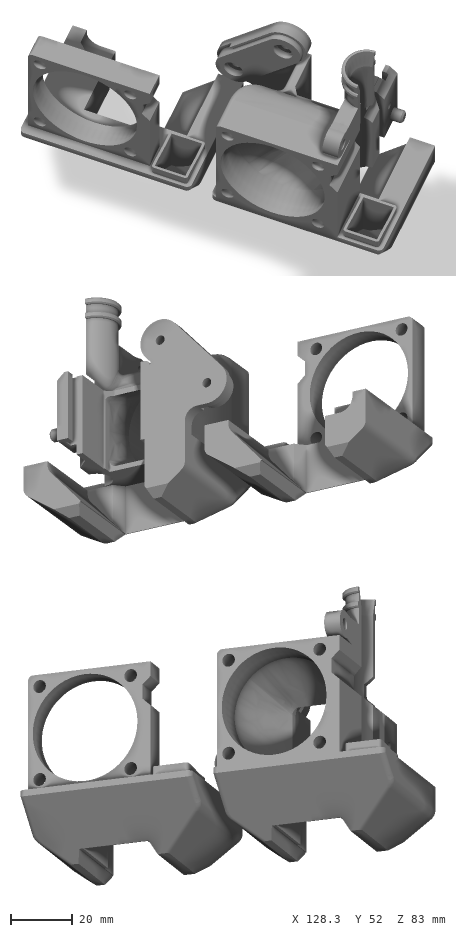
import cadquery as cq
import math


base_width = 60.5
base_depth = 46.3
base_height = 20.8
base_pitch = 67.77
left_wall_bottom = -13.0
left_foot_x = 10.3
right_wall_bottom = -9.9
right_foot_x = 44.9
corner_round = 3.6
front_lip = 2.2
front_slope_run = 19.8
back_bevel_run = 2.7
back_bevel_rise = 3.0
front_edge_round = 1.8
notch_roof = -17.1
notch_left = 13.2
notch_right = 41.0
notch_slant = 1.7

cut_margin = 1.0
slot_left = 16.3
slot_right = 51.5
slot_right_bottom = 38.9
slot_front = 16.2
slot_back_left = 15.2
slot_back_y = 38.2
slot_step_front = 19.3
slot_corner_x = 42.0
slot_upright = 3.0
slot_round = 5.0

collar_x0 = 46.3
collar_x1 = 58.9
collar_y0 = 1.1
collar_y1 = 17.5
collar_height = 3.1
collar_back_height = 2.3
collar_ramp_y0 = 4.0
collar_ramp_y1 = 11.6
collar_wall = 0.9
collar_round = 0.9
pocket_floor = 2.4
pocket_round = 1.5

scoop_left = 5.0
scoop_front = 38.0
scoop_depth = 6.5
scoop_round = 5.0
scoop_corner = 3.0

fan_x = 21.9
fan_z = 20.1
fan_bore = 36.8
fan_hole_pitch = 32.0
fan_hole = 4.4
fan_hole_depth = 8.0
frame_left = 1.8
frame_right = 44.85
frame_top = 40.2
frame_front = 3.4
frame_back = 11.6
frame_round = 1.8
side_notch_depth = 2.8
side_notch_outer = (25.1, 35.1)
side_notch_inner = (27.7, 32.5)

part_plane = base_pitch + frame_right
duct_fan_x = base_pitch + fan_x
channel_y = 32.3
duct_bend_y = 24.5
channel_top = 28.0
channel_left = 81.0
passage_left = 84.45
passage_right = 106.1
passage_inset = 0.4
passage_top = 27.0
passage_round = 2.5
passage_bottom = fan_z - fan_bore / 2
roof_end = 28.8
roof_flare = 2.2
wall_right = 108.4
wall_bevel_y = 36.2
clip_front = 40.5

tube_y = 25.0
tube_radius = 7.15
tube_top = 62.2
tube_foot_round = 1.5
tube_bore_radius = 5.3
tube_mouth_radius = 7.0
tube_mouth_depth = 6.0
rib_radius = 8.1
rib_crest = 1.2
rib_height = 2.1
rib_spacing = 5.0

lug_left = 107.1
lug_back = 20.1
lug_top = 49.2
lug_flat_y = 10.0
lug_eye_start = 1.8
lug_eye_y = 5.0
lug_eye_z = 45.5
lug_eye_radius = 4.6
lug_hole = 4.0
lug_hole_rim = 0.25

arm_low = (59.55, 15.1)
arm_high = (77.05, 34.2)
arm_radius = 7.4
arm_rim = 1.1
arm_face_y = 39.7
arm_web_y = 41.7
arm_thin_y = 43.7
arm_thin_right = 63.2
arm_thin_top = 23.6
arm_bolt = 3.3
arm_head = 6.8
arm_head_depth = 2.5
web_fillet = 4.4
blister_center = (78.5, 43.5, -3.0)
blister_radius = 7.57

clip_back = 51.95
clip_hook_y = 49.0
clip_thickness = 2.0
clip_bottom = 3.7
clip_top = 27.7
clip_hole = 2.4
clip_hole_y = 45.0
peg_y = 47.8
peg_z = 7.8
peg_diameter = 4.4
peg_end = 116.7
peg_chamfer = 0.6


def block(x0, x1, y0, y1, z0, z1):
    """Axis-aligned block between opposite corners."""
    return cq.Workplane("XY").box(x1 - x0, y1 - y0, z1 - z0, centered=False).translate((x0, y0, z0))


def along_y(outline, y0, y1):
    """Extrude a closed outline drawn in X and Z from y0 to y1."""
    return outline.extrude(-(y1 - y0)).translate((0, y0, 0))


def rod_y(x, z, radius, y0, y1):
    """Cylinder with its axis along Y."""
    return along_y(cq.Workplane("XZ").center(x, z).circle(radius), y0, y1)


def base_body():
    """Base block with sloped feet, a sloped front and a notch under it."""
    front_outline = [
        (0, 0),
        (0, left_wall_bottom),
        (left_foot_x, -base_height),
        (right_foot_x, -base_height),
        (base_width, right_wall_bottom),
        (base_width, 0),
    ]
    body = along_y(cq.Workplane("XZ").polyline(front_outline).close(), 0, base_depth)
    for x, z in ((0, left_wall_bottom), (base_width, right_wall_bottom)):
        body = body.edges(cq.selectors.NearestToPointSelector((x, base_depth / 2, z))).fillet(corner_round)
    side_outline = [
        (0, 0),
        (0, -front_lip),
        (front_slope_run, -base_height),
        (base_depth - back_bevel_run, -base_height),
        (base_depth, -base_height + back_bevel_rise),
        (base_depth, 0),
    ]
    side = cq.Workplane("YZ").polyline(side_outline).close().extrude(base_width)
    body = body.intersect(side)
    side_edges = body.faces("<(0, 1, 1)").edges("not |X").add(body.edges("|Z and <Y"))
    notch = [
        (notch_left, -base_height),
        (notch_left + notch_slant, notch_roof),
        (notch_right - notch_slant, notch_roof),
        (notch_right, -base_height),
    ]
    body = side_edges.fillet(front_edge_round)
    return body.cut(along_y(cq.Workplane("XZ").polyline(notch).close(), 0, base_depth))


def base_slot():
    """Opening through the base: upright left wall, right wall sloping in below a short upright."""
    profile = [
        (slot_left, cut_margin),
        (slot_left, -base_height),
        (slot_right_bottom, -base_height),
        (slot_right_bottom, notch_roof),
        (slot_right, -slot_upright),
        (slot_right, cut_margin),
    ]
    slot = along_y(cq.Workplane("XZ").polyline(profile).close(), slot_front, base_depth)
    knee = cq.selectors.NearestToPointSelector((slot_right, (slot_front + base_depth) / 2, -slot_upright))
    slot = slot.edges(knee).fillet(slot_round)
    corner_step = slot_step_front - slot_front
    front_corner = (
        cq.Workplane("XY", origin=(0, 0, -base_height))
        .moveTo(slot_right_bottom, slot_front)
        .lineTo(slot_corner_x, slot_step_front)
        .lineTo(slot_right, slot_step_front)
        .lineTo(slot_right, slot_front - corner_step)
        .lineTo(slot_right_bottom, slot_front - corner_step)
        .close()
        .extrude(base_height + cut_margin)
    )
    back_end = block(slot_back_left, slot_left, slot_back_y, base_depth, -base_height, cut_margin)
    return slot.cut(front_corner).union(back_end)


def inlet_collar():
    """Low rectangular collar whose rim drops towards the back."""
    side = [
        (collar_y0, 0),
        (collar_y0, collar_height),
        (collar_ramp_y0, collar_height),
        (collar_ramp_y1, collar_back_height),
        (collar_y1, collar_back_height),
        (collar_y1, 0),
    ]
    collar = cq.Workplane("YZ", origin=(collar_x0, 0, 0)).polyline(side).close()
    return collar.extrude(collar_x1 - collar_x0).edges("|Z").fillet(collar_round)


def inlet_pocket():
    """Pocket below the collar, its floor parallel to the front and right slopes of the base."""
    front_rate = (base_height - front_lip) / front_slope_run
    right_rate = (base_height + right_wall_bottom) / (base_width - right_foot_x)
    x0 = collar_x0 + collar_wall
    x1 = collar_x1 - collar_wall
    y0 = collar_y0 + collar_wall
    y1 = collar_y1 - collar_wall

    def front_floor(y):
        return pocket_floor - front_lip - front_rate * y

    def right_floor(x):
        return pocket_floor + right_wall_bottom - right_rate * (base_width - x)

    top = collar_height + cut_margin
    front_side = [(y0, top), (y0, front_floor(y0)), (y1, front_floor(y1)), (y1, top)]
    right_side = [(x0, top), (x0, right_floor(x0)), (x1, right_floor(x1)), (x1, top)]
    above_front = cq.Workplane("YZ", origin=(x0, 0, 0)).polyline(front_side).close().extrude(x1 - x0)
    above_right = along_y(cq.Workplane("XZ").polyline(right_side).close(), y0, y1)
    pocket = above_front.intersect(above_right)
    valley = cq.selectors.BoxSelector(
        (x0 + cut_margin, y0 + cut_margin, -base_height),
        (x1 - cut_margin, y1 - cut_margin, 0),
    )
    return pocket.edges(valley).fillet(pocket_round)


def base():
    return base_body().cut(base_slot()).union(inlet_collar()).cut(inlet_pocket())


def corner_scoop():
    """Trough from the back face into the slot, rounded at its left and bevelled in front."""
    trough = block(scoop_left, slot_left, scoop_front, base_depth, -scoop_depth, 0)
    trough = trough.edges("|Z and <X and <Y").chamfer(scoop_corner)
    return trough.edges("|Y and <X and <Z").fillet(scoop_round)


def side_notch(plane_x, y0, y1):
    """V-sided notch in the right edge, flat at its bottom."""
    bottom = plane_x - side_notch_depth
    outline = [
        (plane_x, side_notch_outer[0]),
        (bottom, side_notch_inner[0]),
        (bottom, side_notch_inner[1]),
        (plane_x, side_notch_outer[1]),
    ]
    return along_y(cq.Workplane("XZ").polyline(outline).close(), y0, y1)


def fan_holes(center_x, y0, y1):
    """Four screw holes on a square around the fan axis."""
    square = cq.Workplane("XZ").center(center_x, fan_z)
    square = square.rect(fan_hole_pitch, fan_hole_pitch, forConstruction=True)
    return along_y(square.vertices().circle(fan_hole / 2), y0, y1)


def fan_frame():
    frame = block(frame_left, frame_right, frame_front, frame_back, 0, frame_top)
    frame = frame.edges("|Y and <X and >Z").fillet(frame_round)
    frame = frame.cut(rod_y(fan_x, fan_z, fan_bore / 2, frame_front, frame_back))
    frame = frame.cut(fan_holes(fan_x, frame_front, frame_back))
    return frame.cut(side_notch(frame_right, frame_front, frame_back))


def duct_shell():
    """Outside of the duct: square at the fan, narrowing in an S-curve to a lower channel."""
    left = base_pitch + frame_left
    midway_x = (left + channel_left) / 2
    midway_z = (frame_top + channel_top) / 2
    plan_curve = [(midway_x, duct_bend_y), (channel_left, channel_y)]
    backwards = (0, 1)
    roof_curve = [(duct_bend_y, midway_z), (channel_y, channel_top)]
    level = (1, 0)
    plan = (
        cq.Workplane("XY")
        .moveTo(left, 0)
        .lineTo(left, frame_back)
        .spline(plan_curve, tangents=[backwards, backwards], includeCurrent=True)
        .lineTo(channel_left, base_depth)
        .lineTo(wall_right, base_depth)
        .lineTo(wall_right, clip_front)
        .lineTo(part_plane, wall_bevel_y)
        .lineTo(part_plane, 0)
        .close()
        .extrude(frame_top)
    )
    side = (
        cq.Workplane("YZ")
        .moveTo(0, 0)
        .lineTo(0, frame_top)
        .lineTo(frame_back, frame_top)
        .spline(roof_curve, tangents=[level, level], includeCurrent=True)
        .lineTo(base_depth, channel_top)
        .lineTo(base_depth, 0)
        .close()
        .extrude(part_plane)
    )
    shell = plan.intersect(side)
    top_left_edge = [
        (left, frame_back / 2, frame_top),
        (midway_x, duct_bend_y, midway_z),
        (channel_left, (channel_y + base_depth) / 2, channel_top),
    ]
    edges = [shell.edges(cq.selectors.NearestToPointSelector(point)).val() for point in top_left_edge]
    return shell.newObject(edges).fillet(frame_round)


def duct_passage():
    """Round fan bore blending into a rectangular channel that is open at the top behind the roof."""
    bore = rod_y(duct_fan_x, fan_z, fan_bore / 2, 0, frame_back)
    passage_x = (passage_left + passage_right) / 2
    passage_width = passage_right - passage_left - 2 * passage_inset
    passage_height = passage_top - passage_bottom
    opening = (
        cq.Sketch()
        .rect(passage_width, passage_height)
        .vertices()
        .fillet(passage_round)
        .moved(cq.Location(cq.Vector(passage_x, (passage_top + passage_bottom) / 2, 0)))
    )
    ring = cq.Sketch().circle(fan_bore / 2).moved(cq.Location(cq.Vector(duct_fan_x, fan_z, 0)))
    blend = (
        cq.Workplane("XZ", origin=(0, frame_back, 0))
        .placeSketch(ring, opening.moved(cq.Location(cq.Vector(0, 0, frame_back - roof_end))))
        .loft()
    )
    roofed_left = passage_left + passage_inset
    roofed_right = passage_right - passage_inset
    channel = block(roofed_left, roofed_right, roof_end, base_depth, 0, passage_top)
    channel = channel.edges("|Y and >Z").fillet(passage_round)
    open_top = (
        cq.Workplane("XY")
        .moveTo(passage_left + roof_flare, roof_end)
        .lineTo(passage_left, channel_y)
        .lineTo(passage_left, base_depth)
        .lineTo(passage_right, base_depth)
        .lineTo(passage_right, channel_y)
        .lineTo(passage_right - roof_flare, roof_end)
        .close()
        .extrude(frame_top)
    )
    return bore.union(blend).union(channel).union(open_top)


def left_of_part_plane():
    """Everything on the housing side of the plane that halves the tube."""
    return block(0, part_plane, 0, base_depth, -base_height, tube_top)


def upright_rod(radius, z0, z1):
    return cq.Workplane("XY", origin=(part_plane, tube_y, z0)).circle(radius).extrude(z1 - z0)


def hose_tube():
    """Half tube with two bevelled ribs near its mouth."""
    tube = upright_rod(tube_radius, 0, tube_top)
    bevel = (rib_height - rib_crest) / 2
    for z in (tube_top, tube_top - rib_spacing):
        rib = upright_rod(rib_radius, z - rib_height, z).edges().chamfer(bevel)
        tube = tube.union(rib)
    return tube.intersect(left_of_part_plane())


def tube_bore():
    """Bore down through the housing, flaring at the mouth."""
    mouth = (
        cq.Workplane("XY", origin=(part_plane, tube_y, tube_top - tube_mouth_depth))
        .circle(tube_bore_radius)
        .workplane(offset=tube_mouth_depth)
        .circle(tube_mouth_radius)
        .loft()
    )
    return upright_rod(tube_bore_radius, 0, tube_top).union(mouth)


def hinge_lug():
    """Lug standing on the duct roof with a cross hole in its round front end."""
    eye_start_y = lug_eye_y + lug_eye_start
    eye_start_rise = math.sqrt(lug_eye_radius**2 - lug_eye_start**2)
    outline = (
        cq.Workplane("YZ", origin=(lug_left, 0, 0))
        .moveTo(lug_back, frame_top - frame_round)
        .lineTo(lug_back, lug_top)
        .lineTo(lug_flat_y, lug_top)
        .lineTo(eye_start_y, lug_eye_z + eye_start_rise)
        .threePointArc((lug_eye_y - lug_eye_radius, lug_eye_z), (eye_start_y, lug_eye_z - eye_start_rise))
        .lineTo(frame_back, frame_top)
        .lineTo(frame_back, frame_top - frame_round)
        .close()
    )
    lug = outline.extrude(part_plane - lug_left)
    eye = cq.Workplane("YZ", origin=(lug_left, lug_eye_y, lug_eye_z)).circle(lug_hole / 2)
    hole = eye.extrude(part_plane - lug_left)
    rim = cq.Workplane("YZ", origin=(lug_left, lug_eye_y, lug_eye_z))
    rim = rim.circle(lug_hole / 2 + lug_hole_rim).extrude(lug_hole_rim)
    return lug.cut(hole).cut(rim)


def arm_layer(radius, y0, y1):
    """Round-ended bar between the two bolt positions."""
    run = arm_high[0] - arm_low[0]
    rise = arm_high[1] - arm_low[1]
    length = math.hypot(run, rise)
    bar = cq.Workplane("XZ").center((arm_low[0] + arm_high[0]) / 2, (arm_low[1] + arm_high[1]) / 2)
    bar = bar.slot2D(length + 2 * radius, 2 * radius, math.degrees(math.atan2(rise, run)))
    return along_y(bar, y0, y1)


def arm():
    """Stepped arm, the web that carries it on the base, and a blister at the foot of the web."""
    arm_foot = arm_low[1] - arm_radius
    fillet_left = base_pitch - web_fillet
    web_outline = (
        cq.Workplane("XZ")
        .moveTo(arm_low[0], arm_foot)
        .lineTo(fillet_left, arm_foot)
        .radiusArc((base_pitch, arm_foot - web_fillet), web_fillet)
        .lineTo(base_pitch, 0)
        .lineTo(channel_left, 0)
        .lineTo(channel_left, channel_top - frame_round)
        .lineTo(arm_high[0], arm_high[1])
        .lineTo(arm_low[0], arm_low[1])
        .close()
    )
    plate = arm_layer(arm_radius, arm_web_y, base_depth).union(along_y(web_outline, arm_web_y, base_depth))
    low_left = arm_low[0] - arm_radius
    plate = plate.cut(block(low_left, arm_thin_right, arm_web_y, arm_thin_y, 0, arm_thin_top))
    plate = plate.union(arm_layer(arm_radius - arm_rim, arm_face_y, base_depth))
    blister = cq.Workplane("XY").sphere(blister_radius).translate(blister_center)
    blister_room = block(base_pitch, channel_left, 0, base_depth, 0, blister_radius)
    return plate.union(blister.intersect(blister_room))


def arm_bolt_holes():
    """Through hole with a counterbore at each end of the arm."""
    holes = cq.Workplane("XZ")
    for x, z in (arm_low, arm_high):
        holes = holes.add(rod_y(x, z, arm_bolt / 2, arm_face_y, base_depth))
        holes = holes.add(rod_y(x, z, arm_head / 2, arm_face_y, arm_face_y + arm_head_depth))
    return holes.combine()


def right_housing():
    housing = duct_shell().union(hose_tube())
    tube_foot = (part_plane - tube_radius, tube_y, (frame_top + channel_top) / 2)
    housing = housing.edges(cq.selectors.NearestToPointSelector(tube_foot)).fillet(tube_foot_round)
    housing = housing.cut(duct_passage()).cut(tube_bore())
    housing = housing.cut(fan_holes(duct_fan_x, 0, fan_hole_depth))
    housing = housing.cut(side_notch(part_plane, 0, base_depth))
    housing = housing.union(hinge_lug())
    housing = housing.union(arm()).cut(arm_bolt_holes())
    return housing.union(base().translate((base_pitch, 0, 0)))


def clip_plate():
    """Plate with a hooked back edge, a small hole and a locating peg."""
    web_left = part_plane - clip_thickness
    clip = block(wall_right, part_plane, clip_front, base_depth, clip_bottom, clip_top)
    clip = clip.union(block(web_left, part_plane, base_depth, clip_hook_y, clip_bottom, clip_top))
    clip = clip.union(block(wall_right, part_plane, clip_hook_y, clip_back, clip_bottom, clip_top))
    hole_z = (clip_bottom + clip_top) / 2
    hole = cq.Workplane("YZ", origin=(wall_right, clip_hole_y, hole_z)).circle(clip_hole / 2)
    hole = hole.extrude(part_plane - wall_right)
    peg = cq.Workplane("YZ", origin=(part_plane, peg_y, peg_z)).circle(peg_diameter / 2)
    peg = peg.extrude(peg_end - part_plane).faces(">X").chamfer(peg_chamfer)
    clip = clip.cut(hole).cut(side_notch(part_plane, clip_front, clip_back))
    return clip.union(peg)


left_base = base().cut(corner_scoop())
left_frame = fan_frame()
housing = right_housing()
clip = clip_plate()

bodies = [left_base, left_frame, housing, clip]
result = cq.Compound.makeCompound([body.solids().val() for body in bodies])